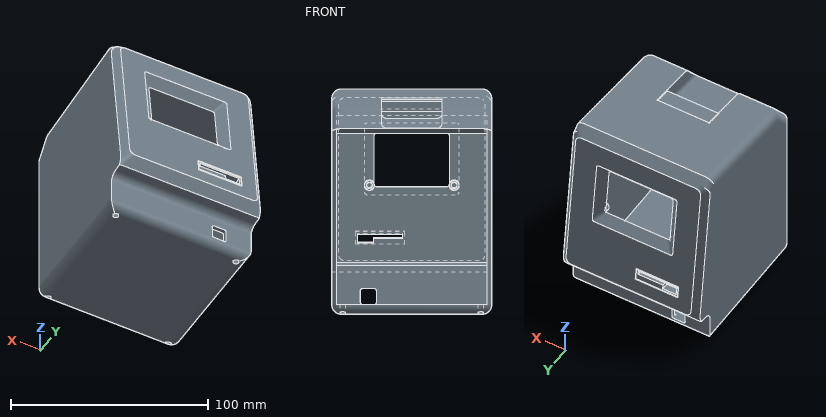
import cadquery as cq
import math


WIDTH = 81.33
DEPTH = 91.72
HEIGHT = 114.39
TILT = 7.0
EDGE_RADIUS = 5.0
OVERSHOOT = 20.0

SIDE_WALL = 2.5
LOWER_BACK_WALL = 2.5
TILTED_WALL = 4.8
FLOOR = EDGE_RADIUS

LOWER_BACK_Y = 78.7
BACK_TOP_CHAMFER = 5.2
BACK_SIDE_CHAMFER = 3.5
HEEL_Z = 27.2
RIM_Z = 94.2
BROW_RADIUS = 4.5
RIM_ANGLE = TILT + 45.0
LIP_DROP = 2.6
STEP_RADIUS = 4.5

WINDOW_WIDTH = 38.2
WINDOW_HEIGHT = 27.2
WINDOW_BOTTOM_Z = 64.8
WINDOW_CORNER = 2.0
BOSS_SPACING = 43.0
BOSS_Z = 65.7
BOSS_DIAMETER = 5.0
BOSS_HOLE = 3.0
BOSS_HEIGHT = 3.0

SLOT_LEFT = -27.5
SLOT_STEP = -19.5
SLOT_RIGHT = -4.7
SLOT_TOP_Z = 40.5
SLOT_NARROW_Z = 38.5
SLOT_WIDE_Z = 36.2
SLOT_RECESS_MARGIN = 1.1
SLOT_RECESS_DEPTH = 0.5

CABLE_X = -22.0
CABLE_SIZE = 8.0
CABLE_CORNER = 1.0

POCKET_WIDTH = 30.8
POCKET_RADIUS = 2.5
LEDGE_BACK_Y = 38.4
LEDGE_FRONT_Y = 28.5
LEDGE_DEPTH = 0.75
LEDGE_THICKNESS = 5.1
BAY_BACK_Y = 41.0
BAY_FLOOR_FRONT_Z = RIM_Z + 0.2

SCREW_DIAMETER = 3.0
SCREW_SPACING = 70.0
SCREW_FRONT_Y = 3.0


def along(point, angle, distance):
    """Point reached from another one in the YZ plane, angle in degrees from +Y."""
    a = math.radians(angle)
    return (point[0] + distance * math.cos(a), point[1] + distance * math.sin(a))


def meet(p, angle_p, q, angle_q):
    """Crossing of two lines in the YZ plane, each given by a point and an angle."""
    a = math.radians(angle_p)
    b = math.radians(angle_q)
    reach = ((q[0] - p[0]) * math.sin(b) - (q[1] - p[1]) * math.cos(b)) / math.sin(b - a)
    return along(p, angle_p, reach)


def between(p, q, share):
    """Point a given share of the way from one point to another in the YZ plane."""
    return (p[0] + share * (q[0] - p[0]), p[1] + share * (q[1] - p[1]))


def both_sides(points):
    """The given (X, Y, Z) points and their mirror images in X."""
    return [(sign * x, y, z) for x, y, z in points for sign in (-1, 1)]


def prism(points, width):
    """YZ outline extruded to a width centred on X = 0."""
    return cq.Workplane("YZ").polyline(points).close().extrude(width / 2, both=True)


UP_BACK = 90.0 + TILT
HEEL = (DEPTH, HEEL_Z)
UP_DIRECTION = along((0.0, 0.0), UP_BACK, 1.0)
BACK_NORMAL = along((0.0, 0.0), TILT, 1.0)
HEEL_CORNER = along(HEEL, UP_BACK, -BACK_TOP_CHAMFER)
LOWER_CHAMFER_END = along(HEEL_CORNER, TILT, -BACK_TOP_CHAMFER)
CHAMFER_FACE = BACK_TOP_CHAMFER * math.sqrt(2.0)
CHAMFER_RUN = CHAMFER_FACE * math.cos(math.radians(45.0 - TILT))
CHAMFER_FALL = CHAMFER_FACE * math.sin(math.radians(45.0 - TILT))
UPPER_CHAMFER_END = meet((HEEL[0], HEIGHT - CHAMFER_FALL), 0.0, HEEL, UP_BACK)
CREST = (UPPER_CHAMFER_END[0] - CHAMFER_RUN, HEIGHT)
RIM = (0.0, RIM_Z)
BROW = meet(RIM, RIM_ANGLE, CREST, TILT)
STEP_CORNER = meet(LOWER_CHAMFER_END, TILT, (LOWER_BACK_Y, 0.0), 90.0)

INNER_BACK = along(HEEL, TILT, -TILTED_WALL)


def make_body():
    """Solid housing with the inner step and the brow rounded."""
    body = prism(
        [
            (0.0, 0.0),
            (LOWER_BACK_Y, 0.0),
            STEP_CORNER,
            LOWER_CHAMFER_END,
            HEEL,
            UPPER_CHAMFER_END,
            CREST,
            BROW,
            RIM,
        ],
        WIDTH,
    )
    brow_edge = cq.selectors.NearestToPointSelector((0.0, *BROW))
    step_edge = cq.selectors.NearestToPointSelector((0.0, *STEP_CORNER))
    body = body.edges(brow_edge).fillet(BROW_RADIUS)
    body = body.edges(step_edge).fillet(STEP_RADIUS)
    return body


def chamfer_back_sides(body):
    """Bevel both upright edges of the tilted back."""
    side = WIDTH / 2
    plane = cq.Plane(origin=(0.0, *HEEL_CORNER), xDir=(1, 0, 0), normal=(0.0, *UP_DIRECTION))
    for sign in (-1, 1):
        corner = [
            (sign * side, -BACK_SIDE_CHAMFER),
            (sign * (side - BACK_SIDE_CHAMFER), 0.0),
            (sign * side, BACK_SIDE_CHAMFER),
            (sign * (side + BACK_SIDE_CHAMFER), 0.0),
        ]
        cutter = cq.Workplane(plane).polyline(corner).close().extrude(HEIGHT, both=True)
        body = body.cut(cutter)
    return body


def edges_near(body, points):
    """Selection of the edge nearest to each (X, Y, Z) point."""
    edges = body.edges(cq.selectors.NearestToPointSelector(points[0]))
    for point in points[1:]:
        edges = edges.add(body.edges(cq.selectors.NearestToPointSelector(point)))
    return edges


def round_body(body):
    """Round the base, the front uprights, the sides of the top and the corners between the back chamfers."""
    side = WIDTH / 2
    reach = BACK_SIDE_CHAMFER / BACK_TOP_CHAMFER
    top_corner = between(UPPER_CHAMFER_END, CREST, reach)
    heel_corner = between(HEEL, LOWER_CHAMFER_END, reach)
    brow_middle = along(BROW, 270.0, BROW_RADIUS / 10)
    upper_edges = [
        (side, *between(CREST, BROW, 0.5)),
        (side, *between(top_corner, CREST, 0.5)),
        (side - BACK_SIDE_CHAMFER / 2, *between(UPPER_CHAMFER_END, top_corner, 0.5)),
        (side, *along(RIM, RIM_ANGLE, EDGE_RADIUS)),
        (side, *brow_middle),
        (side, 0.0, RIM_Z / 2),
    ]
    heel_edge = (side - BACK_SIDE_CHAMFER / 2, *between(HEEL, heel_corner, 0.5))
    rounded = body.edges("<Z").add(edges_near(body, both_sides(upper_edges))).fillet(EDGE_RADIUS)
    return edges_near(rounded, both_sides([heel_edge])).fillet(EDGE_RADIUS)


def back_plane(point):
    """Plane on a face of the tilted back: local X runs toward -X, local Y up the face, normal outward."""
    return cq.Plane(origin=(0.0, *point), xDir=(-1, 0, 0), normal=(0.0, *BACK_NORMAL))


def height_on_inner_back(z):
    """Distance up the inner face of the back to a given height."""
    return (z - INNER_BACK[1]) / math.cos(math.radians(TILT))


def make_cavity():
    """Interior, open at the front."""
    lip_angle = RIM_ANGLE - 90.0
    lip_end = along(RIM, lip_angle, LIP_DROP / math.sin(math.radians(-lip_angle)))
    lip_start = along(RIM, lip_angle, -OVERSHOOT)
    ledge = along(HEEL_CORNER, UP_BACK, TILTED_WALL)
    ledge_inner = meet(ledge, TILT, INNER_BACK, UP_BACK)
    lower_back = LOWER_BACK_Y - LOWER_BACK_WALL
    return prism(
        [
            (lip_start[0], FLOOR),
            (lower_back, FLOOR),
            meet(ledge, TILT, (lower_back, 0.0), 90.0),
            ledge_inner,
            meet(lip_end, TILT, INNER_BACK, UP_BACK),
            lip_end,
            lip_start,
        ],
        WIDTH - 2 * SIDE_WALL,
    )


def make_window():
    """Display opening that flares at 45 degrees toward the outside."""
    flare = 2 * TILTED_WALL
    middle = height_on_inner_back(WINDOW_BOTTOM_Z) + WINDOW_HEIGHT / 2
    window = (
        cq.Workplane(back_plane(INNER_BACK))
        .center(0.0, middle)
        .rect(WINDOW_WIDTH, WINDOW_HEIGHT)
        .workplane(offset=TILTED_WALL)
        .rect(WINDOW_WIDTH + flare, WINDOW_HEIGHT + flare)
        .loft(ruled=True)
    )
    rims = cq.selectors.ParallelDirSelector(cq.Vector(1, 0, 0))
    rims = rims + cq.selectors.ParallelDirSelector(cq.Vector(0.0, *UP_DIRECTION))
    return window.edges(-rims).fillet(WINDOW_CORNER)


def make_bosses():
    """Hollow screw bosses on the inner face of the tilted back."""
    plane = cq.Workplane(back_plane(INNER_BACK)).center(0.0, height_on_inner_back(BOSS_Z))
    x = BOSS_SPACING / 2
    return (
        plane.pushPoints([(-x, 0.0), (x, 0.0)])
        .circle(BOSS_DIAMETER / 2)
        .circle(BOSS_HOLE / 2)
        .extrude(-BOSS_HEIGHT)
    )


def make_card_slot():
    """Stepped slot through the tilted back, set in a shallow outer recess."""
    top = height_on_inner_back(SLOT_TOP_Z)
    narrow = height_on_inner_back(SLOT_NARROW_Z)
    wide = height_on_inner_back(SLOT_WIDE_Z)
    outline = [
        (-SLOT_LEFT, top),
        (-SLOT_RIGHT, top),
        (-SLOT_RIGHT, narrow),
        (-SLOT_STEP, narrow),
        (-SLOT_STEP, wide),
        (-SLOT_LEFT, wide),
    ]
    slot = cq.Workplane(back_plane(INNER_BACK)).polyline(outline).close().extrude(OVERSHOOT)
    recess = (
        cq.Workplane(back_plane(INNER_BACK))
        .workplane(offset=TILTED_WALL - SLOT_RECESS_DEPTH)
        .center(-(SLOT_LEFT + SLOT_RIGHT) / 2, (top + wide) / 2)
        .rect(SLOT_RIGHT - SLOT_LEFT + 2 * SLOT_RECESS_MARGIN, top - wide + 2 * SLOT_RECESS_MARGIN)
        .extrude(OVERSHOOT)
    )
    return slot.union(recess)


def make_cable_opening():
    """Square opening with rounded corners through the lower back wall."""
    middle = (CABLE_X, LOWER_BACK_Y, FLOOR + CABLE_SIZE / 2)
    opening = cq.Workplane("XY").box(CABLE_SIZE, 4 * LOWER_BACK_WALL, CABLE_SIZE)
    return opening.edges("|Y").fillet(CABLE_CORNER).translate(middle)


def make_pocket():
    """Latch recess, open at the front and the top."""
    floor_front = (0.0, BAY_FLOOR_FRONT_Z)
    floor_back = meet(floor_front, TILT, (BAY_BACK_Y, 0.0), 90.0)
    floor_start = along(floor_front, TILT, -OVERSHOOT)
    ledge_top = along(CREST, UP_BACK, -LEDGE_DEPTH)
    ledge_back = meet(ledge_top, TILT, (LEDGE_BACK_Y, 0.0), 90.0)
    ledge_front = meet(ledge_top, TILT, (LEDGE_FRONT_Y, 0.0), 90.0)
    ledge_under = along(ledge_front, UP_BACK, -LEDGE_THICKNESS)
    pocket = prism(
        [
            floor_start,
            floor_back,
            meet(ledge_under, TILT, floor_back, UP_BACK),
            ledge_under,
            ledge_front,
            ledge_back,
            along(ledge_back, UP_BACK, OVERSHOOT),
            along(floor_start, UP_BACK, HEIGHT),
        ],
        POCKET_WIDTH,
    )
    for x in (-POCKET_WIDTH / 2, POCKET_WIDTH / 2):
        edge = cq.selectors.NearestToPointSelector((x, *along(floor_front, TILT, OVERSHOOT / 2)))
        pocket = pocket.edges(edge).fillet(POCKET_RADIUS)
    return pocket


def make_screw_holes():
    """Holes through the floor near its four corners."""
    x = SCREW_SPACING / 2
    back_y = SCREW_FRONT_Y + SCREW_SPACING
    places = [(sx * x, y) for sx in (-1, 1) for y in (SCREW_FRONT_Y, back_y)]
    return cq.Workplane("XY").pushPoints(places).circle(SCREW_DIAMETER / 2).extrude(FLOOR)


result = make_body()
result = chamfer_back_sides(result)
result = round_body(result)
result = result.cut(make_cavity())
result = result.cut(make_pocket())
result = result.cut(make_window())
result = result.union(make_bosses())
result = result.cut(make_card_slot())
result = result.cut(make_cable_opening())
result = result.cut(make_screw_holes())